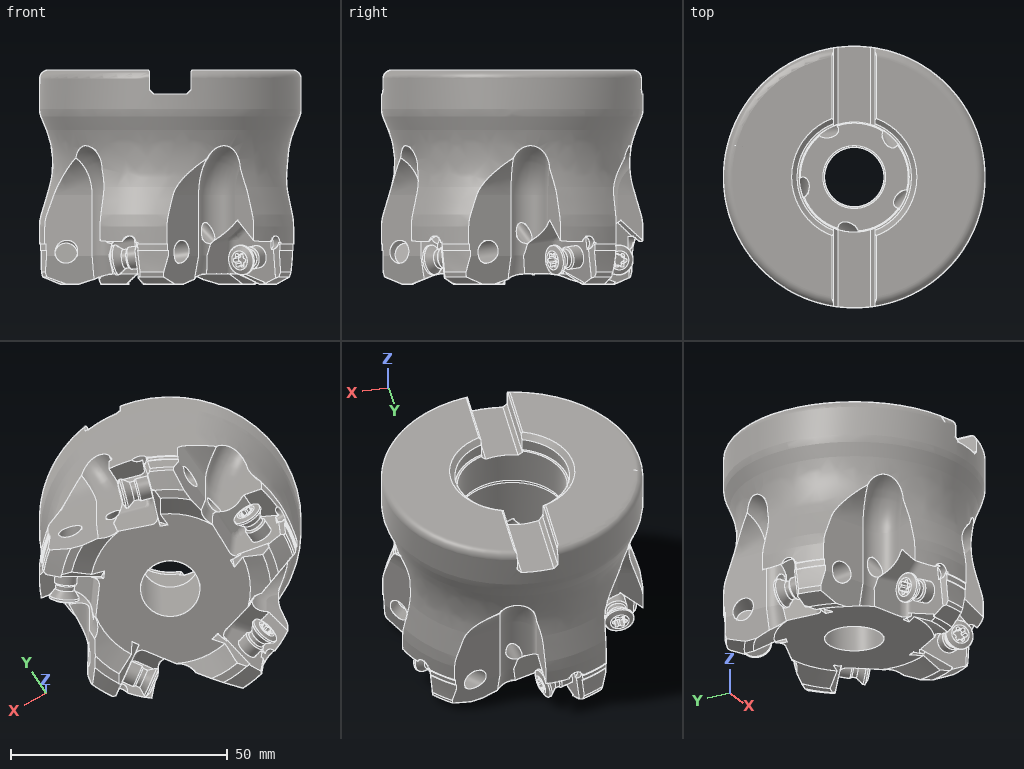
import cadquery as cq
import math

TEETH = 5
PITCH = 360 / TEETH
FLUTE_AZIMUTH = 294.6

HEIGHT = 49.5
OUTER_R = 30.215
REACH = 40.0
TOLERANCE = 1e-4

RIM_ROUND = 2.1
UPPER_CORNER_Z = 39.5
WAIST_R, WAIST_Z = 25.96, 29.1
LOWER_CORNER_Z = 14.7
UPPER_ROUND, WAIST_ROUND, LOWER_ROUND = 4.5, 20.0, 10.0

LAND_INNER_R, LAND_OUTER_R = 23.3, 25.4
BEVEL_R, BEVEL_Z = 29.5, 1.7
CORNER_Z = 2.8
DISH_R, DISH_Z = 18.5, 2.4
STEP_TOP_Z, STEP_BOTTOM_Z = 9.3, 7.8
BAND_R, TOOTH_R = 30.0, 29.85

BORE_R = 12.7
BORE_MOUTH_R, BORE_MOUTH_CHAMFER, BORE_MOUTH_DEPTH = 13.2, 1.25, 4.2
BORE_RELIEF_R, BORE_RELIEF_DEPTH, BORE_RELIEF_TAPER = 13.0, 13.1, 0.9
FLOOR_CORNER = 0.55
BORE_FLOOR_Z = 22.0
BOLT_R, BOLT_CHAMFER = 6.85, 0.4

SLOT_WIDTH, SLOT_DEPTH = 9.5, 5.55
SLOT_FLOOR_CHAMFER, SLOT_EDGE_CHAMFER = 0.95, 0.4

FLUTE_CORNER = (18.64, 3.6)
BACK_ANGLE, FRONT_ANGLE = -63.2, 21.8
GULLET_BACK, GULLET_FRONT = 7.2, 5.5
GULLET_DEEPEST = (19.5, 1.2)
RUNOUT_X, RUNOUT_Z = 31.6, 20.6
RUNOUT_GAP = 0.05
RUNOUT_SWEEP = 90
LOWER_TILT, LOWER_TILT_Z = -13.0, 6.5

SEAT_CENTRE = (20.5, 12.63, 6.37)
SCREW_AZIMUTH, SCREW_RISE = 120.0, 7.0
SEAT_OPENING = 12.0
INNER_WALL_FOOT, INNER_WALL_TOP = (-8.5, -9.0), (-6.5, 4.4)
POCKET_PEAK, ROOF_CORNER, POCKET_END = (0.0, 9.3), (6.8, 3.2), 12.0
INNER_WALL_ROUND, UPPER_WALL_ROUND = 1.9, 1.5
RELIEF_R, RELIEF_HEIGHT, RELIEF_OFFSET, RELIEF_START = 1.7, 3.2, 0.8, 4.2
BEVEL_SIZE = 4.0
OUTER_BEVEL = (4.8, 3.2), (4.8, -7.0)
LOWER_BEVEL = (1.5, -5.9), (-8.0, -2.5)
HEAD_R, HEAD_TOP, HEAD_RIM, HEAD_CONE = 3.45, 7.0, 1.0, 1.7
NECK_R, THREAD_TOP = 2.2, 2.8
HEAD_FLAT_R, HEAD_CROWN = 2.2, 0.5
SHANK_R, SHANK_DEPTH = 2.6, 4.6
SOCKET_R, SOCKET_LOBE_R, SOCKET_DEPTH, SOCKET_LOBES = 1.3, 0.45, 2.0, 6

COOLANT_R = 1.7
COOLANT_START = (10.6, -6.35, BORE_FLOOR_Z)
COOLANT_END = (19.5, 0.1, 12.0)
COOLANT_OVERRUN = 2.5


def polar(length, angle):
    a = math.radians(angle)
    return cq.Vector(length * math.cos(a), length * math.sin(a), 0)


def at_tooth(shape, index):
    return shape.rotate((0, 0, 0), (0, 0, 1), FLUTE_AZIMUTH + index * PITCH)


def round_rings(body, z, radius):
    rings = body.edges("%CIRCLE").filter(lambda e: math.isclose(e.Center().z, z, abs_tol=TOLERANCE))
    return body.newObject(rings.vals()).fillet(radius)


def make_blank():
    outline = [
        (0, DISH_Z),
        (DISH_R, DISH_Z),
        (LAND_INNER_R, 0),
        (LAND_OUTER_R, 0),
        (BEVEL_R, BEVEL_Z),
        (TOOTH_R, CORNER_Z),
        (TOOTH_R, STEP_BOTTOM_Z),
        (BAND_R, STEP_BOTTOM_Z),
        (BAND_R, STEP_TOP_Z),
        (OUTER_R, STEP_TOP_Z),
        (OUTER_R, LOWER_CORNER_Z),
        (WAIST_R, WAIST_Z),
        (OUTER_R, UPPER_CORNER_Z),
        (OUTER_R, HEIGHT),
        (0, HEIGHT),
    ]
    blank = cq.Workplane("XZ").polyline(outline).close().revolve(360, (0, 0), (0, 1))
    rounds = [
        (HEIGHT, RIM_ROUND),
        (UPPER_CORNER_Z, UPPER_ROUND),
        (WAIST_Z, WAIST_ROUND),
        (LOWER_CORNER_Z, LOWER_ROUND),
    ]
    for z, radius in rounds:
        blank = round_rings(blank, z, radius)
    return blank


def make_bore():
    mouth_z = HEIGHT - BORE_MOUTH_DEPTH
    relief_z = HEIGHT - BORE_RELIEF_DEPTH
    outline = [
        (0, HEIGHT),
        (BORE_MOUTH_R + BORE_MOUTH_CHAMFER, HEIGHT),
        (BORE_MOUTH_R, HEIGHT - BORE_MOUTH_CHAMFER),
        (BORE_MOUTH_R, mouth_z),
        (BORE_R, mouth_z),
        (BORE_R, relief_z),
        (BORE_RELIEF_R, relief_z - BORE_RELIEF_TAPER),
        (BORE_RELIEF_R, BORE_FLOOR_Z + FLOOR_CORNER),
        (BORE_RELIEF_R - FLOOR_CORNER, BORE_FLOOR_Z),
        (BOLT_R + BOLT_CHAMFER, BORE_FLOOR_Z),
        (BOLT_R, BORE_FLOOR_Z - BOLT_CHAMFER),
        (BOLT_R, 0),
        (0, 0),
    ]
    return cq.Workplane("XZ").polyline(outline).close().revolve(360, (0, 0), (0, 1))


def make_slot():
    half = SLOT_WIDTH / 2
    floor_z = HEIGHT - SLOT_DEPTH
    right = [
        (half - SLOT_FLOOR_CHAMFER, floor_z),
        (half, floor_z + SLOT_FLOOR_CHAMFER),
        (half, HEIGHT - SLOT_EDGE_CHAMFER),
        (half + SLOT_EDGE_CHAMFER, HEIGHT),
    ]
    left = [(-x, z) for x, z in reversed(right)]
    return cq.Workplane("XZ").polyline(right + left).close().extrude(REACH, both=True)


def flute_section(z):
    """Two flat flanks meeting in a round gullet, closed just short of the run-out axis."""
    corner = cq.Vector(*FLUTE_CORNER)
    depth = RUNOUT_X - RUNOUT_GAP - corner.x
    back = corner + polar(depth / math.cos(math.radians(BACK_ANGLE)), BACK_ANGLE)
    front = corner + polar(depth / math.cos(math.radians(FRONT_ANGLE)), FRONT_ANGLE)
    gullet_start = corner + polar(GULLET_BACK, BACK_ANGLE)
    gullet_end = corner + polar(GULLET_FRONT, FRONT_ANGLE)
    return (
        cq.Workplane("XY", origin=(0, 0, z))
        .moveTo(back.x, back.y)
        .lineTo(gullet_start.x, gullet_start.y)
        .threePointArc(GULLET_DEEPEST, (gullet_end.x, gullet_end.y))
        .lineTo(front.x, front.y)
        .close()
    )


def make_flute():
    straight = flute_section(RUNOUT_Z).extrude(-REACH)
    runout = flute_section(RUNOUT_Z).revolve(RUNOUT_SWEEP, (RUNOUT_X, 0), (RUNOUT_X, 1))
    hinge = cq.Vector(*FLUTE_CORNER, LOWER_TILT_Z)
    lower = flute_section(LOWER_TILT_Z).extrude(-REACH / 2)
    lower = lower.rotate(hinge.toTuple(), (hinge + polar(1, BACK_ANGLE)).toTuple(), LOWER_TILT)
    return straight.union(runout).union(lower)


def seat_plane():
    """X points outward along the seat, Y up it, Z out of it against the screw direction."""
    rise = math.radians(SCREW_RISE)
    inward = polar(math.cos(rise), SCREW_AZIMUTH) + cq.Vector(0, 0, math.sin(rise))
    return cq.Plane(SEAT_CENTRE, xDir=polar(1, SCREW_AZIMUTH - 90), normal=inward * -1)


def make_seat_bevel(start, end):
    """Wedge that bevels a free seat edge; the outside lies left of start -> end."""
    edge = cq.Vector(*end) - cq.Vector(*start)
    away = cq.Vector(-edge.y, edge.x, 0).normalized()
    local = cq.Plane((*start, 0), xDir=away, normal=edge)
    profile = cq.Workplane(local).polyline([(0, 0), (BEVEL_SIZE, 0), (BEVEL_SIZE, -BEVEL_SIZE)])
    bevel = profile.close().extrude(edge.Length)
    return cq.Workplane(bevel.val().moved(seat_plane().location))


def make_seat_pocket():
    outline = [
        INNER_WALL_FOOT,
        INNER_WALL_TOP,
        POCKET_PEAK,
        ROOF_CORNER,
        (POCKET_END, ROOF_CORNER[1]),
        (POCKET_END, INNER_WALL_FOOT[1]),
    ]
    pocket = cq.Workplane("XY").polyline(outline).close().extrude(SEAT_OPENING)
    for wall_start, wall_end, radius in [
        (INNER_WALL_FOOT, INNER_WALL_TOP, INNER_WALL_ROUND),
        (INNER_WALL_TOP, POCKET_PEAK, UPPER_WALL_ROUND),
    ]:
        middle = [(a + b) / 2 for a, b in zip(wall_start, wall_end)]
        pocket = pocket.edges(cq.selectors.NearestToPointSelector((*middle, 0))).fillet(radius)
    relief = (
        cq.Workplane("YZ", origin=(RELIEF_START, RELIEF_HEIGHT, RELIEF_OFFSET))
        .circle(RELIEF_R)
        .extrude(POCKET_END)
    )
    pocket = pocket.union(relief)
    return cq.Workplane(pocket.val().moved(seat_plane().location))


def make_screw_hole():
    return cq.Workplane(seat_plane()).circle(SHANK_R).extrude(-REACH / 2)


def make_screw():
    cone_top = HEAD_TOP - HEAD_RIM
    outline = [
        (0, HEAD_TOP),
        (HEAD_FLAT_R, HEAD_TOP),
        (HEAD_R, HEAD_TOP - HEAD_CROWN),
        (HEAD_R, cone_top),
        (NECK_R, cone_top - HEAD_CONE),
        (NECK_R, THREAD_TOP + SHANK_R - NECK_R),
        (SHANK_R, THREAD_TOP),
        (SHANK_R, -SHANK_DEPTH),
        (0, -SHANK_DEPTH),
    ]
    screw = cq.Workplane("XZ").polyline(outline).close().revolve(360, (0, 0), (0, 1))
    socket_floor = cq.Workplane("XY", origin=(0, 0, HEAD_TOP - SOCKET_DEPTH))
    socket = socket_floor.circle(SOCKET_R).extrude(SOCKET_DEPTH)
    lobe_centres = socket_floor.polarArray(SOCKET_R, 0, 360, SOCKET_LOBES)
    lobes = lobe_centres.circle(SOCKET_LOBE_R).extrude(SOCKET_DEPTH)
    screw = screw.cut(socket).cut(lobes)
    return cq.Workplane(screw.solids().val().moved(seat_plane().location))


def make_coolant_channel():
    start = cq.Vector(*COOLANT_START)
    end = cq.Vector(*COOLANT_END)
    direction = (end - start).normalized()
    origin = start - direction * COOLANT_OVERRUN
    length = (end - start).Length + 2 * COOLANT_OVERRUN
    return cq.Workplane(cq.Solid.makeCylinder(COOLANT_R, length, origin, direction))


def make_cutter_body():
    body = make_blank().cut(make_bore()).cut(make_slot())
    cutters = [
        make_flute(),
        make_seat_pocket(),
        make_seat_bevel(*OUTER_BEVEL),
        make_seat_bevel(*LOWER_BEVEL),
        make_screw_hole(),
        make_coolant_channel(),
    ]
    for index in range(TEETH):
        for cutter in cutters:
            body = body.cut(at_tooth(cutter, index))
    return body


cutter_body = make_cutter_body()
clamp_screw = make_screw()
clamp_screws = [at_tooth(clamp_screw, index).val() for index in range(TEETH)]

result = cq.Compound.makeCompound([cutter_body.solids().val(), *clamp_screws])